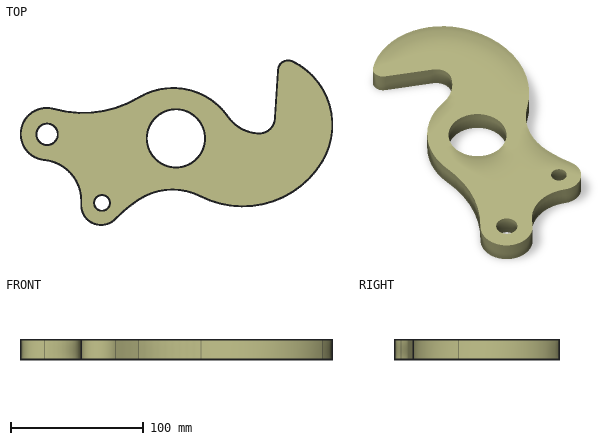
import cadquery as cq
import math

THICKNESS = 15.0

large_lobe = (-97.8, 3.5, 19.8)
small_lobe = (-56.8, -50.2, 15.0)
dome = (-2.4, -12.0, 50.5)
hook_seat = (62.7, 15.8, 11.8)
hook_back = (64.5, 10.4, 53.5)

NECK_RADIUS = 81.3
LOBE_GAP_RADIUS = 30.6
THROAT_RADIUS = 29.5
BELLY_RADIUS = 70.2
SADDLE_RADIUS = 46.6
FLANK_RADIUS = 106.0
TIP_RADIUS = 7.8

TIP_ANGLE = 64.0
BACK_ANGLE = -31.0
SADDLE_ANGLE = -117.0

pivot_bore = (-0.2, 0.2, 22.0)
large_lobe_hole = (-97.5, 3.3, 8.0)
small_lobe_hole = (-56.0, -48.5, 6.0)


def polar(circle, distance, angle):
    """Point at a distance and an angle in radians from the centre of a circle."""
    return (circle[0] + distance * math.cos(angle), circle[1] + distance * math.sin(angle))


def heading(start, end):
    """Distance and angle from one centre to another."""
    dx = end[0] - start[0]
    dy = end[1] - start[1]
    return math.hypot(dx, dy), math.atan2(dy, dx)


def circle_at(base, distance, degrees, radius):
    """Circle whose centre is placed from the centre of another circle."""
    return (*polar(base, distance, math.radians(degrees)), radius)


def circle_between(first, first_distance, second, second_distance, radius):
    """Circle at given centre distances, on the left when looking from first to second."""
    span, angle = heading(first, second)
    cosine = (first_distance**2 + span**2 - second_distance**2) / (2 * first_distance * span)
    return (*polar(first, first_distance, angle + math.acos(cosine)), radius)


def bridge(first, second, radius):
    """Circle that touches two circles from outside."""
    return circle_between(first, first[2] + radius, second, second[2] + radius, radius)


def outer_touch(first, second):
    """Touching point of two circles that lie outside each other."""
    return polar(first, first[2], heading(first, second)[1])


def inner_touch(large, small):
    """Touching point of a small circle inside a large one."""
    return polar(large, large[2], heading(large, small)[1])


def cross_tangent(first, second):
    """Ends of the line touching two circles, from the right of first to the left of second."""
    span, angle = heading(first, second)
    offset = -math.acos((first[2] + second[2]) / span)
    return (
        polar(first, first[2], angle + offset),
        polar(second, second[2], angle + offset + math.pi),
    )


def arc_to(sketch, circle, start, end, turn):
    """Add an arc of a circle; turn is -1 for clockwise and 1 for counterclockwise."""
    start_angle = heading(circle, start)[1]
    end_angle = heading(circle, end)[1]
    sweep = turn * ((turn * (end_angle - start_angle)) % (2 * math.pi))
    return sketch.threePointArc(polar(circle, circle[2], start_angle + sweep / 2), end)


neck = bridge(large_lobe, dome, NECK_RADIUS)
gap_x = small_lobe[0] - small_lobe[2] - LOBE_GAP_RADIUS
gap_drop = math.sqrt((large_lobe[2] + LOBE_GAP_RADIUS) ** 2 - (gap_x - large_lobe[0]) ** 2)
lobe_gap = (gap_x, large_lobe[1] - gap_drop, LOBE_GAP_RADIUS)
throat = circle_between(
    dome, dome[2] + THROAT_RADIUS, hook_seat, THROAT_RADIUS - hook_seat[2], THROAT_RADIUS
)
tip = circle_at(hook_back, hook_back[2] - TIP_RADIUS, TIP_ANGLE, TIP_RADIUS)
belly = circle_at(hook_back, BELLY_RADIUS - hook_back[2], BACK_ANGLE + 180, BELLY_RADIUS)
saddle = circle_at(belly, BELLY_RADIUS + SADDLE_RADIUS, SADDLE_ANGLE, SADDLE_RADIUS)
flank = circle_between(
    saddle, FLANK_RADIUS - SADDLE_RADIUS, small_lobe, FLANK_RADIUS + small_lobe[2], FLANK_RADIUS
)

lobe_to_neck = outer_touch(large_lobe, neck)
neck_to_dome = outer_touch(neck, dome)
dome_to_throat = outer_touch(dome, throat)
throat_to_seat = inner_touch(throat, hook_seat)
seat_to_line, line_to_tip = cross_tangent(hook_seat, tip)
tip_to_back = inner_touch(hook_back, tip)
back_to_belly = inner_touch(belly, hook_back)
belly_to_saddle = outer_touch(belly, saddle)
saddle_to_flank = inner_touch(flank, saddle)
flank_to_small_lobe = outer_touch(flank, small_lobe)
small_lobe_to_line = polar(small_lobe, small_lobe[2], math.pi)
line_to_gap = polar(lobe_gap, LOBE_GAP_RADIUS, 0)
gap_to_large_lobe = outer_touch(lobe_gap, large_lobe)

outline = cq.Workplane("XY").moveTo(*lobe_to_neck)
outline = arc_to(outline, neck, lobe_to_neck, neck_to_dome, 1)
outline = arc_to(outline, dome, neck_to_dome, dome_to_throat, -1)
outline = arc_to(outline, throat, dome_to_throat, throat_to_seat, 1)
outline = arc_to(outline, hook_seat, throat_to_seat, seat_to_line, 1)
outline = outline.lineTo(*line_to_tip)
outline = arc_to(outline, tip, line_to_tip, tip_to_back, -1)
outline = arc_to(outline, hook_back, tip_to_back, back_to_belly, -1)
outline = arc_to(outline, belly, back_to_belly, belly_to_saddle, -1)
outline = arc_to(outline, saddle, belly_to_saddle, saddle_to_flank, 1)
outline = arc_to(outline, flank, saddle_to_flank, flank_to_small_lobe, 1)
outline = arc_to(outline, small_lobe, flank_to_small_lobe, small_lobe_to_line, -1)
outline = outline.lineTo(*line_to_gap)
outline = arc_to(outline, lobe_gap, line_to_gap, gap_to_large_lobe, 1)
outline = arc_to(outline, large_lobe, gap_to_large_lobe, lobe_to_neck, -1)
plate = outline.close().extrude(THICKNESS)

for x, y, radius in (pivot_bore, large_lobe_hole, small_lobe_hole):
    plate = plate.cut(cq.Workplane("XY").center(x, y).circle(radius).extrude(THICKNESS))

result = plate